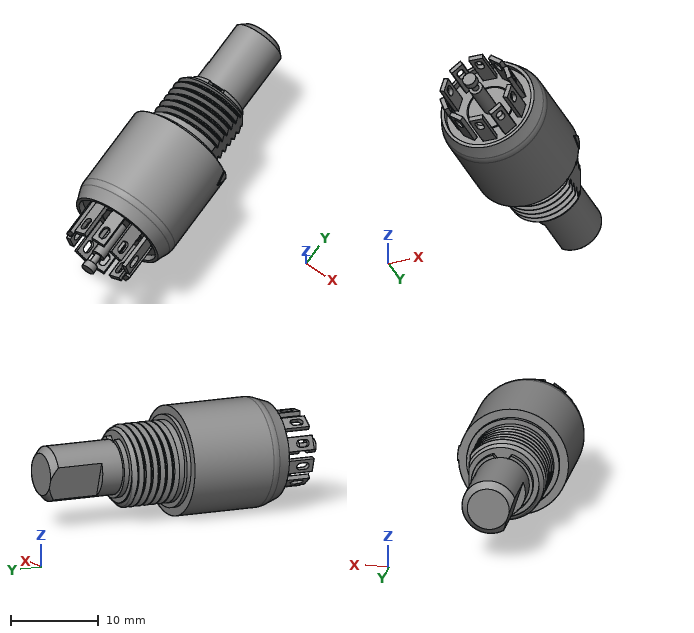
import cadquery as cq
import math


case_radius = 6.35
rear_y = -12.4
taper_angle = 20.0
taper_start_y = -10.9
taper_blend_length = 0.82
rear_recess_radius = 5.27
rear_recess_depth = 0.77
recess_floor_y = rear_y + rear_recess_depth
bore_radius = 2.8
flange_radius = 5.35
flange_y = 0.5

mark_height = 0.13
mark_width = 1.8
mark_length = 1.6
mark_center_z = 0.7

thread_radius = 9.525 / 2
thread_pitch = 25.4 / 28
thread_depth = 0.565
thread_flank_angle = 30.0
thread_crest_flat = thread_pitch / 8
thread_start_y = 1.13
thread_start_angle = 10.0
bushing_end_y = 6.95
bushing_chamfer = 0.6
bushing_flat_x = 3.93

nose_radius = 3.55
nose_end_y = 7.58
notch_outer_width = 2.1
notch_inner_width = 1.05

shaft_radius = 3.175
shaft_end_y = 16.42
rotor_stem_radius = 2.65
shaft_chamfer = 0.75
shaft_flat_distance = 2.39
shaft_flat_end_y = 10.15
shaft_flat_angle = 18.0

terminal_count = 10
terminal_center_radius = 4.05
terminal_width = 1.66
terminal_thickness = 0.54
terminal_end_y = -16.22
eyelet_length = 1.56
eyelet_width = 0.85
eyelet_center_y = -14.9

post_radius = 0.8
post_neck_radius = 0.4
post_neck_start_y = -16.2
post_head_y = -17.45
post_end_y = -18.28


def cylinder(radius, start_y, end_y):
    """Cylinder on the switch axis between two Y positions."""
    solid = cq.Solid.makeCylinder(radius, end_y - start_y, cq.Vector(0, start_y, 0), cq.Vector(0, 1, 0))
    return cq.Workplane(obj=solid)


def make_case():
    """Case with a front flange and a rear taper that blends smoothly into the cylinder."""
    taper = math.radians(taper_angle)
    blend_radius = taper_blend_length / math.sin(taper)
    blend_start_y = taper_start_y + taper_blend_length
    taper_radius = case_radius - blend_radius * (1 - math.cos(taper))
    blend_mid = (
        case_radius - blend_radius * (1 - math.cos(taper / 2)),
        blend_start_y - blend_radius * math.sin(taper / 2),
    )
    rear_radius = taper_radius - (taper_start_y - rear_y) * math.tan(taper)
    case = (
        cq.Workplane("XY")
        .moveTo(0, rear_y)
        .lineTo(rear_radius, rear_y)
        .lineTo(taper_radius, taper_start_y)
        .threePointArc(blend_mid, (case_radius, blend_start_y))
        .lineTo(case_radius, 0)
        .lineTo(flange_radius, 0)
        .lineTo(flange_radius, flange_y)
        .lineTo(0, flange_y)
        .close()
        .revolve(360, (0, 0), (0, 1))
    )
    return case.cut(cylinder(rear_recess_radius, rear_y, recess_floor_y))


def make_mark():
    """Triangular pointer, raised by a constant height over the case cylinder."""
    prism = (
        cq.Workplane("YZ", origin=(case_radius / 2, 0, 0))
        .moveTo(0, mark_center_z - mark_width / 2)
        .lineTo(0, mark_center_z + mark_width / 2)
        .lineTo(-mark_length, mark_center_z)
        .close()
        .extrude(case_radius)
    )
    return prism.intersect(cylinder(case_radius + mark_height, -mark_length, 0))


def make_thread_groove():
    """Right-handed V groove that starts over the bushing flat and leaves past the bushing end."""
    overshoot = 0.05
    flank_run = math.tan(math.radians(thread_flank_angle))
    outer_half = (thread_pitch - thread_crest_flat) / 2
    root_half = outer_half - thread_depth * flank_run
    top_half = outer_half + overshoot * flank_run
    root_radius = thread_radius - thread_depth
    top_radius = thread_radius + overshoot
    groove_length = bushing_end_y + thread_pitch - thread_start_y

    corners = [
        (root_radius, -root_half),
        (top_radius, -top_half),
        (top_radius, top_half),
        (root_radius, root_half),
    ]
    edges = [
        cq.Wire.makeHelix(thread_pitch, groove_length, radius, cq.Vector(0, 0, offset)).Edges()[0]
        for radius, offset in corners
    ]
    faces = [cq.Face.makeRuledSurface(edges[i - 1], edges[i]) for i in range(len(edges))]
    start_points = [edge.startPoint() for edge in edges]
    end_points = [edge.endPoint() for edge in edges]
    for points in (start_points, end_points):
        faces.append(cq.Face.makeFromWires(cq.Wire.makePolygon(points, close=True)))
    groove = cq.Workplane(obj=cq.Solid.makeSolid(cq.Shell.makeShell(faces)))
    groove = groove.rotate((0, 0, 0), (1, 0, 0), -90).translate((0, thread_start_y, 0))
    return groove.rotate((0, 0, 0), (0, 1, 0), thread_start_angle)


def make_bushing():
    bushing = cylinder(thread_radius, flange_y, bushing_end_y).faces(">Y").chamfer(bushing_chamfer)
    bushing = bushing.cut(make_thread_groove())
    flat_cut = cq.Workplane("XY").box(
        thread_radius, bushing_end_y - flange_y, 2 * thread_radius, centered=(False, False, True)
    )
    return bushing.cut(flat_cut.translate((bushing_flat_x, flange_y, 0)))


def make_nose():
    """Ring around the rotor stem, notched from its rim through to the bore."""
    nose = cylinder(nose_radius, bushing_end_y, nose_end_y)
    outer_half = notch_outer_width / 2
    inner_half = notch_inner_width / 2
    outer_z = math.sqrt(nose_radius**2 - outer_half**2)
    inner_z = math.sqrt(bore_radius**2 - inner_half**2)
    notch = (
        cq.Workplane("XZ", origin=(0, nose_end_y, 0))
        .polyline([
            (-inner_half, 0),
            (-inner_half, inner_z),
            (-outer_half, outer_z),
            (-outer_half, nose_radius),
            (outer_half, nose_radius),
            (outer_half, outer_z),
            (inner_half, inner_z),
            (inner_half, 0),
        ])
        .close()
        .extrude(nose_end_y - bushing_end_y)
    )
    return nose.cut(notch)


def make_terminal(angle):
    """Flat solder lug with an eyelet, set tangentially at an angle around the axis."""
    blade = cq.Workplane("XY").box(
        terminal_width, recess_floor_y - terminal_end_y, terminal_thickness, centered=(True, False, True)
    )
    blade = blade.translate((0, terminal_end_y, 0))
    eyelet = (
        cq.Workplane("XY", origin=(0, eyelet_center_y, 0))
        .slot2D(eyelet_length, eyelet_width, 90)
        .extrude(terminal_thickness, both=True)
    )
    terminal = blade.cut(eyelet).translate((0, 0, terminal_center_radius))
    return terminal.rotate((0, 0, 0), (0, 1, 0), angle)


def make_post():
    post = cylinder(post_radius, post_neck_start_y, recess_floor_y)
    post = post.union(cylinder(post_neck_radius, post_head_y, post_neck_start_y))
    return post.union(cylinder(post_radius, post_end_y, post_head_y))


def make_housing():
    """Case, mark, bushing, nose and terminals as one solid with a through bore for the rotor."""
    housing = make_case().union(make_mark()).union(make_bushing()).union(make_nose())
    for index in range(terminal_count):
        housing = housing.union(make_terminal(index * 360 / terminal_count))
    return housing.cut(cylinder(bore_radius, rear_y, nose_end_y))


def make_shaft():
    """Round shaft with a chamfered tip and one flat, turned below the -X side."""
    shaft = cylinder(shaft_radius, nose_end_y, shaft_end_y).faces(">Y").chamfer(shaft_chamfer)
    flat_cut = cq.Workplane("XY").box(
        shaft_radius, shaft_end_y - shaft_flat_end_y, 2 * shaft_radius, centered=(False, False, True)
    )
    flat_cut = flat_cut.translate((-shaft_flat_distance - shaft_radius, shaft_flat_end_y, 0))
    return shaft.cut(flat_cut.rotate((0, 0, 0), (0, 1, 0), -shaft_flat_angle))


def make_rotor():
    """Shaft seated on the nose, a thinner stem running through the bore, and the rear post."""
    stem = cylinder(rotor_stem_radius, recess_floor_y, nose_end_y)
    return make_shaft().union(stem).union(make_post())


housing = make_housing()
rotor = make_rotor()

result = cq.Compound.makeCompound([housing.solids().val(), rotor.solids().val()])